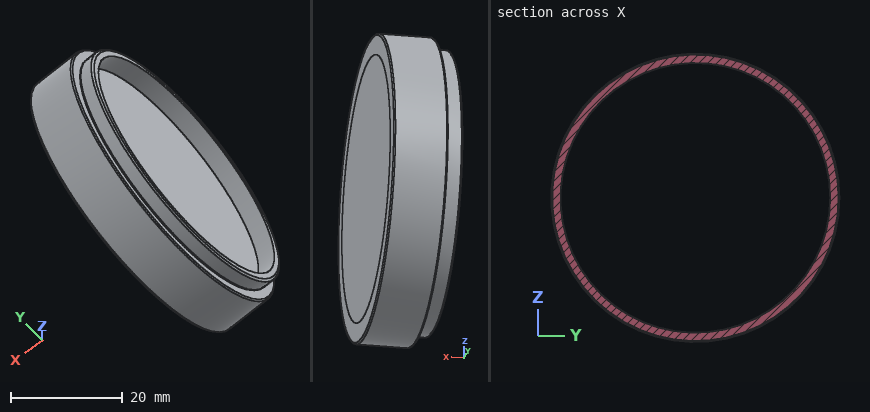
import cadquery as cq

rim_diameter = 55.9
total_length = 12.95

spigot_diameter = 51.7
spigot_length = 3.1
rim_chamfer = 0.3
spigot_chamfer_radial = 0.5
spigot_chamfer_axial = 0.3

relief_width = 0.2
relief_depth = 0.15

bore_diameter = 48.3
recess_depth = 3.75


def make_disc(diameter, x_start, x_end):
    """Solid cylinder along X between two X positions."""
    plane = cq.Workplane("YZ").workplane(offset=x_start)
    return plane.circle(diameter / 2).extrude(x_end - x_start)


def make_mount():
    """Stepped ring revolved about X, with chamfered outer edges, a relief groove and a through bore."""
    bore_radius = bore_diameter / 2
    spigot_radius = spigot_diameter / 2
    rim_radius = rim_diameter / 2
    relief_radius = spigot_radius - relief_depth
    relief_start = spigot_length - relief_width
    profile = (
        cq.Workplane("XY")
        .moveTo(0, bore_radius)
        .lineTo(0, spigot_radius - spigot_chamfer_radial)
        .lineTo(spigot_chamfer_axial, spigot_radius)
        .lineTo(relief_start, spigot_radius)
        .lineTo(relief_start, relief_radius)
        .lineTo(spigot_length, relief_radius)
        .lineTo(spigot_length, rim_radius - rim_chamfer)
        .lineTo(spigot_length + rim_chamfer, rim_radius)
        .lineTo(total_length - rim_chamfer, rim_radius)
        .lineTo(total_length, rim_radius - rim_chamfer)
        .lineTo(total_length, bore_radius)
        .close()
    )
    return profile.revolve(360, (0, 0, 0), (1, 0, 0))


mount = make_mount()
glass = make_disc(bore_diameter, recess_depth, total_length)

result = cq.Compound.makeCompound([mount.val(), glass.val()])